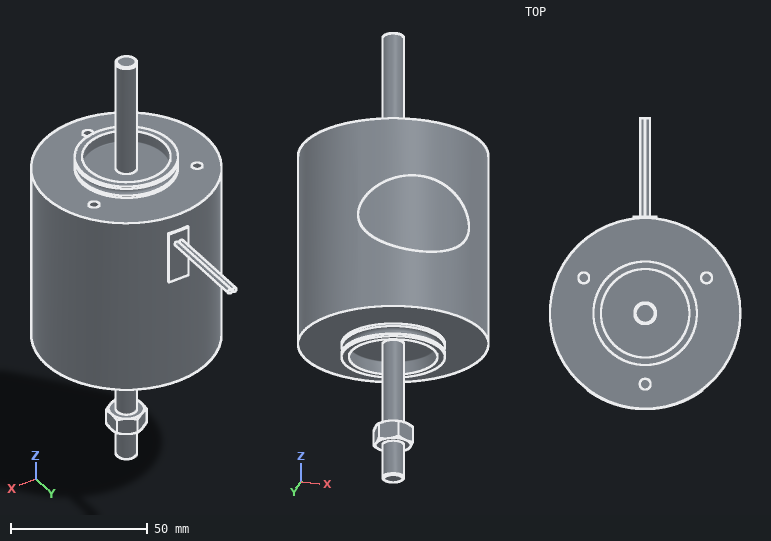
import cadquery as cq
import math

body_diameter = 70.0
body_height = 75.2
body_radius = body_diameter / 2
body_top = body_height / 2

collar_diameter = 38.0
collar_height = 5.1
collar_bore_diameter = 32.5
groove_radius = 1.5
bore_fillet_radius = 0.4
collar_radius = collar_diameter / 2
collar_bore_radius = collar_bore_diameter / 2

shaft_diameter = 8.0
shaft_length = 177.0
shaft_top = 85.5
shaft_bottom = shaft_top - shaft_length
shaft_chamfer = 0.5

nut_across_flats = 13.0
nut_height = 7.0
nut_top = -71.0
nut_across_corners = nut_across_flats / math.cos(math.radians(30))
nut_chamfer_angle = 30.0

hole_count = 3
hole_diameter = 4.0
hole_circle_radius = 26.0
hole_depth = 8.0
hole_first_angle = 30.0

plate_width = 42.2
plate_height = 30.2
plate_thickness = 0.2

pad_width = 8.5
pad_height = 21.6
pad_center_z = 19.7
pad_thickness = 0.5

overall_depth = 106.77
wire_diameter = 1.75
wire_pitch = 1.9
wire_z = 25.2
wire_end_y = overall_depth - body_radius - plate_thickness


def make_body():
    return cq.Workplane("XY").circle(body_radius).extrude(body_height / 2, both=True)


def make_collar():
    """Upper collar: a ring with a half-round groove outside and a fillet at the foot of its bore."""
    middle = body_top + collar_height / 2
    collar_top = body_top + collar_height
    return (
        cq.Workplane("XZ")
        .moveTo(collar_bore_radius - bore_fillet_radius, body_top)
        .lineTo(collar_radius, body_top)
        .lineTo(collar_radius, middle - groove_radius)
        .threePointArc((collar_radius - groove_radius, middle), (collar_radius, middle + groove_radius))
        .lineTo(collar_radius, collar_top)
        .lineTo(collar_bore_radius, collar_top)
        .lineTo(collar_bore_radius, body_top + bore_fillet_radius)
        .radiusArc((collar_bore_radius - bore_fillet_radius, body_top), bore_fillet_radius)
        .close()
        .revolve(360, (0, 0, 0), (0, 1, 0))
    )


def make_shaft():
    return (
        cq.Workplane("XY")
        .workplane(offset=shaft_bottom)
        .circle(shaft_diameter / 2)
        .extrude(shaft_length)
        .faces("<Z or >Z")
        .chamfer(shaft_chamfer)
    )


def make_nut():
    """Hexagon trimmed by a double cone that takes off the corners of both faces."""
    nut_bottom = nut_top - nut_height
    corner_radius = nut_across_corners / 2
    face_radius = nut_across_flats / 2
    drop = (corner_radius - face_radius) * math.tan(math.radians(nut_chamfer_angle))
    hexagon = (
        cq.Workplane("XY")
        .workplane(offset=nut_bottom)
        .polygon(6, nut_across_corners)
        .extrude(nut_height)
        .rotate((0, 0, 0), (0, 0, 1), 90)
    )
    envelope = (
        cq.Workplane("XZ")
        .moveTo(0, nut_bottom)
        .lineTo(face_radius, nut_bottom)
        .lineTo(corner_radius, nut_bottom + drop)
        .lineTo(corner_radius, nut_top - drop)
        .lineTo(face_radius, nut_top)
        .lineTo(0, nut_top)
        .close()
        .revolve(360, (0, 0, 0), (0, 1, 0))
    )
    return hexagon.intersect(envelope)


def make_mounting_holes():
    return (
        cq.Workplane("XY")
        .workplane(offset=body_top - hole_depth)
        .polarArray(hole_circle_radius, hole_first_angle, 360, hole_count)
        .circle(hole_diameter / 2)
        .extrude(hole_depth)
    )


def make_name_plate():
    oval = cq.Workplane("XZ").ellipse(plate_width / 2, plate_height / 2).extrude(body_diameter)
    skin = cq.Workplane("XY").circle(body_radius + plate_thickness).extrude(plate_height, both=True)
    return oval.intersect(skin)


def make_lead_pad():
    pad_face_y = body_radius + pad_thickness
    return (
        cq.Workplane("XY")
        .box(pad_width, pad_face_y, pad_height, centered=(True, False, True))
        .translate((0, 0, pad_center_z))
    )


def make_wires():
    return (
        cq.Workplane("XZ")
        .pushPoints([(-wire_pitch / 2, wire_z), (wire_pitch / 2, wire_z)])
        .circle(wire_diameter / 2)
        .extrude(-wire_end_y)
    )


collar = make_collar()
result = (
    make_body()
    .union(make_name_plate())
    .union(make_lead_pad())
    .union(make_wires())
    .union(collar)
    .union(collar.mirror("XY"))
    .union(make_shaft())
    .union(make_nut())
    .cut(make_mounting_holes())
)